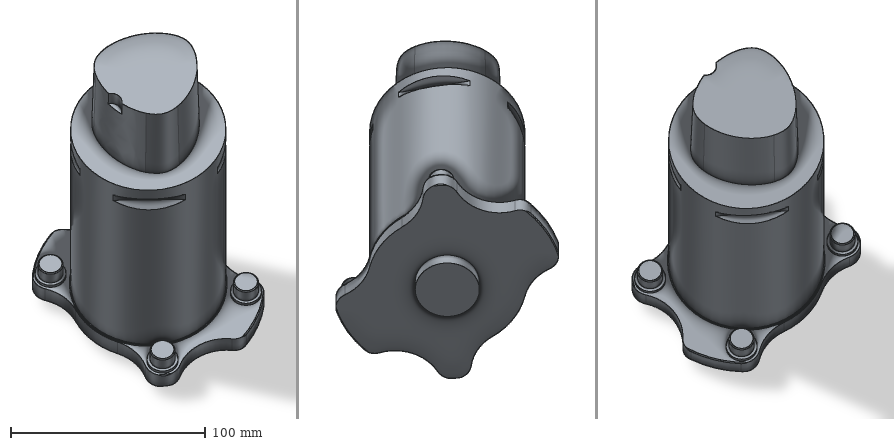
import cadquery as cq
import math

TOTAL_HEIGHT = 195.0
PLATE_BOTTOM = 7.5
PLATE_TOP = 17.2
PAD_TOP = 18.1
WASHER_TOP = 19.0
SCREW_TOP = 26.7
BODY_TOP = 147.0

SPIGOT_DIAMETER = 33.0
BODY_RADIUS = 40.0
PAD_RADIUS = 40.5
SCREW_DIAMETER = 12.9
SCREW_CHAMFER = 0.5
WASHER_DIAMETER = 16.0

DISC_RADIUS = 41.0
SCREW_X = 40.2
SCREW_Y = 30.8
LUG_RADIUS = 9.4
WAIST_RADIUS = 25.2
WING_TIP_RADIUS = 7.8
SCREW_PITCH_RADIUS = math.hypot(SCREW_X, SCREW_Y)
WING_RADIUS = SCREW_PITCH_RADIUS + LUG_RADIUS
WING_TIP_ANGLE = 11.8
WING_CHAMFER = 0.5

GROOVE_Z = 135.1
GROOVE_DEPTH = 4.7
GROOVE_FLOOR_HEIGHT = 4.3
GROOVE_MOUTH_HEIGHT = 9.0

SHANK_TOP_DIAMETER = 53.0
SHANK_BASE_DIAMETER = 55.4
LOBE_HEIGHT = 1.85
SHANK_SIDES = 6
POINTS_PER_SIDE = 8
NOTCH_RADIUS = 5.7
NOTCH_FLOOR_Y = -21.8
NOTCH_DEPTH = 8.5


def polar(radius, degrees):
    angle = math.radians(degrees)
    return radius * math.cos(angle), radius * math.sin(angle)


def toward(start, end, distance):
    """Point at the given distance from start on the ray through end."""
    length = math.dist(start, end)
    return tuple(a + (b - a) * distance / length for a, b in zip(start, end))


def circle_crossing(center_a, radius_a, center_b, radius_b):
    """Crossing of two circles lying to the right of the way from a to b."""
    gap = math.dist(center_a, center_b)
    along = (gap**2 + radius_a**2 - radius_b**2) / (2 * gap)
    across = math.sqrt(radius_a**2 - along**2)
    ux, uy = ((b - a) / gap for a, b in zip(center_a, center_b))
    return center_a[0] + along * ux + across * uy, center_a[1] + along * uy - across * ux


def cylinder(diameter, bottom, top):
    return cq.Workplane("XY").workplane(offset=bottom).circle(diameter / 2).extrude(top - bottom)


def half_outline_arcs():
    """Centre, radius and end point of each arc over half of the plate outline."""
    origin = (0.0, 0.0)
    lug = (SCREW_X, -SCREW_Y)
    wing_lug = (SCREW_X, SCREW_Y)
    disc_reach = DISC_RADIUS + WAIST_RADIUS
    lug_reach = LUG_RADIUS + WAIST_RADIUS
    wing_tip = polar(WING_RADIUS - WING_TIP_RADIUS, WING_TIP_ANGLE)
    lower_waist = circle_crossing(origin, disc_reach, lug, lug_reach)
    side_waist = circle_crossing(lug, lug_reach, wing_tip, WING_TIP_RADIUS + WAIST_RADIUS)
    upper_waist = circle_crossing(wing_lug, lug_reach, origin, disc_reach)
    return [
        (origin, DISC_RADIUS, toward(origin, lower_waist, DISC_RADIUS)),
        (lower_waist, WAIST_RADIUS, toward(lug, lower_waist, LUG_RADIUS)),
        (lug, LUG_RADIUS, toward(lug, side_waist, LUG_RADIUS)),
        (side_waist, WAIST_RADIUS, toward(wing_tip, side_waist, WING_TIP_RADIUS)),
        (wing_tip, WING_TIP_RADIUS, toward(origin, wing_tip, WING_RADIUS)),
        (origin, WING_RADIUS, toward(origin, wing_lug, WING_RADIUS)),
        (wing_lug, LUG_RADIUS, toward(wing_lug, upper_waist, LUG_RADIUS)),
        (upper_waist, WAIST_RADIUS, toward(origin, upper_waist, DISC_RADIUS)),
    ]


def make_plate():
    arcs = half_outline_arcs()
    last_x, last_y = arcs[-1][2]
    start = (-last_x, -last_y)
    outline = cq.Workplane("XY").workplane(offset=PLATE_BOTTOM).moveTo(*start)
    for sign in (1, -1):
        for center, radius, end in arcs:
            center = (sign * center[0], sign * center[1])
            end = (sign * end[0], sign * end[1])
            chord_middle = tuple((a + b) / 2 for a, b in zip(start, end))
            outline = outline.threePointArc(toward(center, chord_middle, radius), end)
            start = end
    plate = outline.close().extrude(PLATE_TOP - PLATE_BOTTOM)
    turned_disc = cylinder(2 * WING_RADIUS, PLATE_BOTTOM, PLATE_TOP).faces("<Z or >Z").chamfer(WING_CHAMFER)
    return plate.intersect(turned_disc)


def make_screws():
    places = [(x, y) for x in (-SCREW_X, SCREW_X) for y in (-SCREW_Y, SCREW_Y)]
    washer = cylinder(WASHER_DIAMETER, PLATE_BOTTOM, WASHER_TOP)
    head = cylinder(SCREW_DIAMETER, PLATE_BOTTOM, SCREW_TOP).faces(">Z").chamfer(SCREW_CHAMFER)
    screw = washer.union(head)
    return [screw.translate((x, y, 0)) for x, y in places]


def make_grooves():
    floor = BODY_RADIUS - GROOVE_DEPTH
    half_floor = GROOVE_FLOOR_HEIGHT / 2
    half_mouth = GROOVE_MOUTH_HEIGHT / 2
    profile = [
        (floor, GROOVE_Z - half_floor),
        (BODY_RADIUS, GROOVE_Z - half_mouth),
        (BODY_RADIUS, GROOVE_Z + half_mouth),
        (floor, GROOVE_Z + half_floor),
    ]
    groove = cq.Workplane("XZ").polyline(profile).close().extrude(BODY_RADIUS, both=True)
    return [groove.rotate((0, 0, 0), (0, 0, 1), angle) for angle in (45, 135, 225, 315)]


def shank_point(diameter, degrees, z):
    """Point of the constant-width three-lobed curve whose normal has the given direction."""
    angle = math.radians(degrees)
    lobe_angle = math.radians(3 * (degrees - 90))
    support = diameter / 2 + LOBE_HEIGHT * math.cos(lobe_angle)
    slope = -3 * LOBE_HEIGHT * math.sin(lobe_angle)
    x = support * math.cos(angle) - slope * math.sin(angle)
    y = support * math.sin(angle) + slope * math.cos(angle)
    return cq.Vector(x, y, z)


def shank_wire(diameter, z):
    span = 360 / SHANK_SIDES
    edges = []
    for side in range(SHANK_SIDES):
        angles = [span * (side + i / POINTS_PER_SIDE) for i in range(POINTS_PER_SIDE + 1)]
        points = [shank_point(diameter, angle, z) for angle in angles]
        tangents = [cq.Vector(*polar(1, angle + 90), 0) for angle in (angles[0], angles[-1])]
        edges.append(cq.Edge.makeSpline(points, tangents=tangents))
    return cq.Wire.assembleEdges(edges)


def make_shank():
    base = shank_wire(SHANK_BASE_DIAMETER, BODY_TOP)
    top = shank_wire(SHANK_TOP_DIAMETER, TOTAL_HEIGHT)
    shank = cq.Workplane(cq.Solid.makeLoft([base, top], True))
    notch = cylinder(2 * NOTCH_RADIUS, TOTAL_HEIGHT - NOTCH_DEPTH, TOTAL_HEIGHT)
    return shank.cut(notch.translate((0, NOTCH_FLOOR_Y - NOTCH_RADIUS, 0)))


body = cylinder(2 * BODY_RADIUS, PLATE_BOTTOM, BODY_TOP)
for groove in make_grooves():
    body = body.cut(groove)

result = make_plate().union(cylinder(SPIGOT_DIAMETER, 0, PLATE_TOP))
result = result.union(cylinder(2 * PAD_RADIUS, PLATE_BOTTOM, PAD_TOP))
result = result.union(body).union(make_shank())
for screw in make_screws():
    result = result.union(screw)